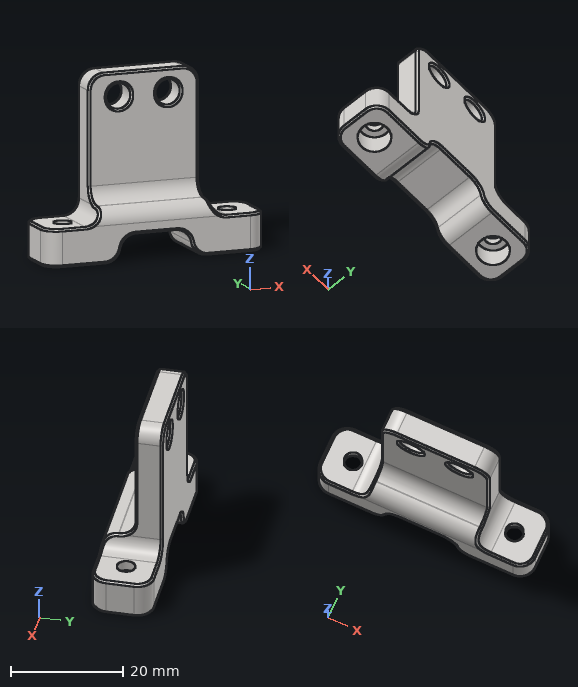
import cadquery as cq
import math

width = 42.2
depth = 11.1
height = 33.4
base_height = 6.95
plate_width = 21.2
plate_thickness = 5.02
blend_radius = 3.0
edge_chamfer = 0.4

arch_height = 5.0
arch_radius = 3.0
arch_top_half = 3.9

plate_hole_diameter = 4.7
plate_hole_spacing = 9.5
plate_hole_drop = 4.47
base_hole_diameter = 3.3
base_hole_spacing = 31.65
counterbore_diameter = 6.0
counterbore_depth = 5.0

plate_front = depth - plate_thickness
plate_half = plate_width / 2
half_width = width / 2


def front_outline():
    """T-shaped silhouette with the arched underside, extruded through the depth."""
    centre_rise = 2 * arch_radius - arch_height
    centre_run = math.sqrt((2 * arch_radius) ** 2 - centre_rise ** 2)
    foot_x = arch_top_half + centre_run
    meet_x = arch_top_half + centre_run / 2
    meet_z = arch_height / 2

    sweep = math.acos(centre_rise / (2 * arch_radius))
    mid_run = arch_radius * math.sin(sweep / 2)
    mid_rise = arch_radius * (1 - math.cos(sweep / 2))
    foot_mid = (foot_x - mid_run, mid_rise)
    top_mid = (arch_top_half + mid_run, arch_height - mid_rise)

    diagonal = blend_radius * (1 - math.sqrt(0.5))
    fillet_x = plate_half + blend_radius
    fillet_z = base_height + blend_radius
    half = (
        cq.Workplane("XZ")
        .moveTo(0, arch_height)
        .lineTo(arch_top_half, arch_height)
        .threePointArc(top_mid, (meet_x, meet_z))
        .threePointArc(foot_mid, (foot_x, 0))
        .lineTo(half_width, 0)
        .lineTo(half_width, base_height)
        .lineTo(fillet_x, base_height)
        .threePointArc((plate_half + diagonal, base_height + diagonal), (plate_half, fillet_z))
        .lineTo(plate_half, height - blend_radius)
        .threePointArc((plate_half - diagonal, height - diagonal), (plate_half - blend_radius, height))
        .lineTo(0, height)
        .mirrorY()
    )
    return half.extrude(-depth)


def side_outline():
    """Plate above a foot, joined by a concave and a convex quarter circle."""
    diagonal = blend_radius * math.sqrt(0.5)
    shoulder_z = base_height + blend_radius
    concave_y = plate_front - blend_radius
    concave_z = shoulder_z + blend_radius
    return (
        cq.Workplane("YZ")
        .lineTo(depth, 0)
        .lineTo(depth, height)
        .lineTo(plate_front, height)
        .lineTo(plate_front, concave_z)
        .threePointArc((concave_y + diagonal, concave_z - diagonal), (concave_y, shoulder_z))
        .lineTo(blend_radius, shoulder_z)
        .threePointArc((blend_radius - diagonal, base_height + diagonal), (0, base_height))
        .close()
        .extrude(half_width, both=True)
    )


def base_corners():
    """Full-height block that rounds the four vertical corners of the base."""
    block = cq.Workplane("XY").box(width, depth, height, centered=(True, False, False))
    return block.edges("|Z").fillet(blend_radius)


def plate_holes():
    """Countersunk tools for the pair of holes through the plate."""
    radius = plate_hole_diameter / 2
    z = height - plate_hole_drop
    section = (
        cq.Workplane("XY")
        .lineTo(radius + edge_chamfer, 0)
        .lineTo(radius, edge_chamfer)
        .lineTo(radius, plate_thickness - edge_chamfer)
        .lineTo(radius + edge_chamfer, plate_thickness)
        .lineTo(0, plate_thickness)
        .close()
    )
    tool = section.revolve(360, (0, 0), (0, 1))
    left = tool.translate((-plate_hole_spacing / 2, plate_front, z))
    right = tool.translate((plate_hole_spacing / 2, plate_front, z))
    return left.union(right)


def base_holes():
    """Vertical holes near the ends of the base, counterbored from below."""
    half_spacing = base_hole_spacing / 2
    centres = [(-half_spacing, depth / 2), (half_spacing, depth / 2)]
    plane = cq.Workplane("XY").pushPoints(centres)
    shanks = plane.circle(base_hole_diameter / 2).extrude(base_height)
    heads = plane.circle(counterbore_diameter / 2).extrude(counterbore_depth)
    return shanks.union(heads)


body = front_outline().intersect(side_outline()).intersect(base_corners())

body = body.edges(cq.selectors.NearestToPointSelector((half_width, depth / 2, 0))).chamfer(edge_chamfer)
body = body.edges(cq.selectors.NearestToPointSelector((half_width, depth / 2, base_height))).chamfer(edge_chamfer)

result = body.cut(plate_holes()).cut(base_holes())